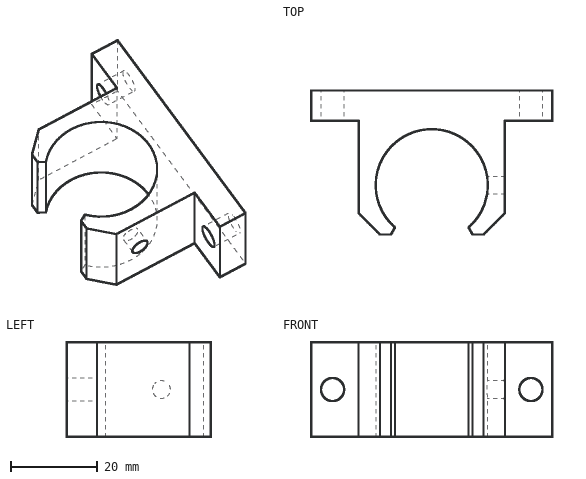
import cadquery as cq
import math

length = 56.0
depth = 33.5
height = 22.0

flange_thickness = 7.05
screw_hole_diameter = 5.3
screw_hole_spacing = 46.05

body_width = 33.95
corner_chamfer = 5.0
bore_diameter = 26.0
bore_to_back = 22.0
mouth_width = 17.0
mouth_outer_width = 19.0

arm_hole_diameter = 4.15

back_y = bore_to_back
front_y = back_y - depth
flange_front_y = back_y - flange_thickness
bore_radius = bore_diameter / 2
half_body = body_width / 2
half_mouth = mouth_width / 2
bore_end_y = -math.sqrt(bore_radius**2 - half_mouth**2)


def make_clip():
    """Flange and C-shaped clip as one extruded outline."""
    return (
        cq.Workplane("XY")
        .workplane(offset=-height / 2)
        .moveTo(-length / 2, back_y)
        .lineTo(length / 2, back_y)
        .lineTo(length / 2, flange_front_y)
        .lineTo(half_body, flange_front_y)
        .lineTo(half_body, front_y + corner_chamfer)
        .lineTo(half_body - corner_chamfer, front_y)
        .lineTo(mouth_outer_width / 2, front_y)
        .lineTo(half_mouth, bore_end_y)
        .threePointArc((0, bore_radius), (-half_mouth, bore_end_y))
        .lineTo(-mouth_outer_width / 2, front_y)
        .lineTo(-half_body + corner_chamfer, front_y)
        .lineTo(-half_body, front_y + corner_chamfer)
        .lineTo(-half_body, flange_front_y)
        .lineTo(-length / 2, flange_front_y)
        .close()
        .extrude(height)
    )


def make_screw_holes():
    """Two cylinders through the flange, parallel to Y."""
    return (
        cq.Workplane("XZ", origin=(0, back_y, 0))
        .pushPoints([(side * screw_hole_spacing / 2, 0) for side in (-1, 1)])
        .circle(screw_hole_diameter / 2)
        .extrude(flange_thickness)
    )


def make_arm_hole():
    """Cylinder from the bore axis out through the +X arm."""
    return (
        cq.Workplane("YZ")
        .circle(arm_hole_diameter / 2)
        .extrude(half_body)
    )


result = make_clip().cut(make_screw_holes()).cut(make_arm_hole())